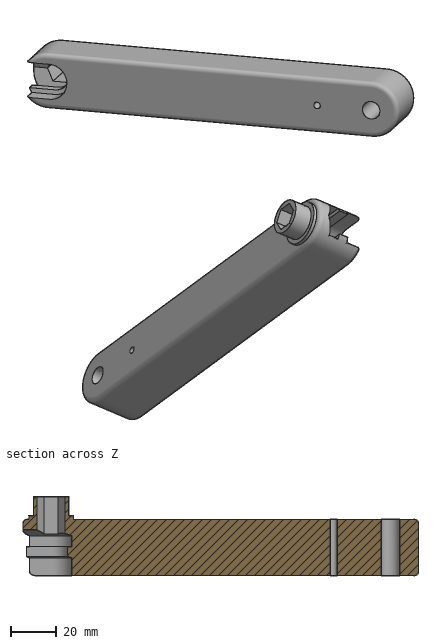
import cadquery as cq
import math

length = 175.0
height = 25.0
depth = 25.0
edge_radius = 2.1
end_radius = height / 2
left_axis_x = end_radius
right_axis_x = length - end_radius

collar_diameter = 20.0
collar_length = 1.5
spigot_diameter = 15.8
spigot_end_y = 35.0

hex_corner_diameter = 12.2

pocket_offset = 1.0
pocket_axis_x = left_axis_x + pocket_offset
pocket_radius = 8.0
neck_radius = 6.1
entry_depth = 7.9
neck_end_y = 13.0
chamber_end_y = 17.7
drill_tip_angle = 144.0

pivot_hole_diameter = 8.0
pin_hole_diameter = 3.0
pin_spacing = 25.0


def cylinder_along_y(x, diameter, start_y, end_y):
    plane = cq.Workplane("XZ", origin=(x, start_y, 0))
    return plane.circle(diameter / 2).extrude(start_y - end_y)


def make_bar():
    bar = (
        cq.Workplane("XZ")
        .center(length / 2, 0)
        .slot2D(length, height)
        .extrude(-depth)
    )
    return bar.faces("<Y or >Y").edges().fillet(edge_radius)


def make_pocket():
    """Half profile revolved around the pocket axis and swept out to the left."""
    cone_slope = 1 / math.tan(math.radians(drill_tip_angle / 2))
    shoulder_y = entry_depth + (pocket_radius - neck_radius) * cone_slope
    tip_y = chamber_end_y + pocket_radius * cone_slope
    steps = [
        (pocket_radius, 0),
        (pocket_radius, entry_depth),
        (neck_radius, shoulder_y),
        (neck_radius, neck_end_y),
        (pocket_radius, neck_end_y),
        (pocket_radius, chamber_end_y),
    ]
    half_profile = [(0, 0)] + steps + [(0, tip_y)]
    mirrored_steps = [(-radius, y) for radius, y in reversed(steps)]
    full_profile = steps + [(0, tip_y)] + mirrored_steps

    round_end = (
        cq.Workplane("XY", origin=(pocket_axis_x, 0, 0))
        .polyline(half_profile)
        .close()
        .revolve(360, (0, 0), (0, 1))
    )
    channel_plane = cq.Plane(
        origin=(pocket_axis_x, 0, 0),
        xDir=(0, 0, 1),
        normal=(-1, 0, 0),
    )
    channel = cq.Workplane(channel_plane).polyline(full_profile).close().extrude(pocket_axis_x)
    return round_end.union(channel)


def make_hex_passage():
    plane = cq.Workplane("XZ", origin=(left_axis_x, 0, 0))
    return plane.polygon(6, hex_corner_diameter).extrude(-spigot_end_y)


collar_end_y = depth + collar_length
collar = cylinder_along_y(left_axis_x, collar_diameter, depth, collar_end_y)
spigot = cylinder_along_y(left_axis_x, spigot_diameter, collar_end_y, spigot_end_y)
pivot_hole = cylinder_along_y(right_axis_x, pivot_hole_diameter, 0, depth)
pin_hole = cylinder_along_y(right_axis_x - pin_spacing, pin_hole_diameter, 0, depth)

result = make_bar().union(collar).union(spigot)
for cutter in (make_pocket(), make_hex_passage(), pivot_hole, pin_hole):
    result = result.cut(cutter)